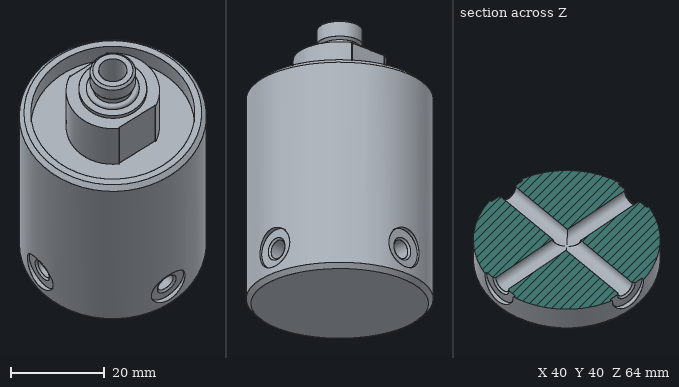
import cadquery as cq

total_height = 64.0
body_top = 48.5
hub_top = 56.5

body_diameter = 40.0
body_chamfer = 1.0
pocket_diameter = 35.0
pocket_depth = 5.0
pocket_floor = body_top - pocket_depth

hub_diameter = 20.0
flat_spacing = 17.0
flat_width = 9.7

bore_diameter = 6.0

washer_diameter = 14.5
washer_height = 0.95
ring_diameter = 11.3
ring_section_radius = 0.8
neck_diameter = 8.6
head_diameter = 9.7
head_height = 4.55
head_chamfer = (head_diameter - neck_diameter) / 2

cross_hole_height = 7.0
cross_hole_diameter = 4.15
cross_hole_chamfer = 0.45
spotface_diameter = 9.0
spotface_depth = 1.0


def disc(diameter, base, height):
    """Vertical cylinder on the part axis, standing at level base."""
    return cq.Workplane("XY").workplane(offset=base).circle(diameter / 2).extrude(height)


def make_body():
    body = disc(body_diameter, 0, body_top).edges().chamfer(body_chamfer)
    return body.cut(disc(pocket_diameter, pocket_floor, pocket_depth))


def make_hub():
    height = hub_top - pocket_floor
    hub = disc(hub_diameter, pocket_floor, height)
    recess_depth = (hub_diameter - flat_spacing) / 2
    middle = (flat_spacing + recess_depth) / 2
    recesses = (
        cq.Workplane("XY")
        .workplane(offset=pocket_floor)
        .pushPoints([(-middle, 0), (middle, 0)])
        .rect(recess_depth, flat_width)
        .extrude(height)
    )
    return hub.cut(recesses)


def make_spigot():
    washer_top = hub_top + washer_height
    head_base = total_height - head_height
    washer = disc(washer_diameter, hub_top, washer_height)
    ring_radius = ring_diameter / 2 - ring_section_radius
    ring = (
        cq.Workplane("XZ")
        .center(ring_radius, washer_top)
        .circle(ring_section_radius)
        .revolve(360, (-ring_radius, 0), (-ring_radius, 1))
    )
    neck = disc(neck_diameter, washer_top, head_base - washer_top)
    head = disc(head_diameter, head_base, head_height).edges().chamfer(head_chamfer)
    return washer.union(ring).union(neck).union(head)


def make_bore():
    return disc(bore_diameter, cross_hole_height, total_height - cross_hole_height)


def make_cross_hole():
    """Cutter along X: through hole with chamfered mouths and a spotface at both ends."""
    outer = body_diameter / 2
    seat = outer - spotface_depth
    hole_radius = cross_hole_diameter / 2
    mouth_radius = hole_radius + cross_hole_chamfer
    spotface_radius = spotface_diameter / 2
    half_profile = [
        (0, 0),
        (0, hole_radius),
        (seat - cross_hole_chamfer, hole_radius),
        (seat, mouth_radius),
        (seat, spotface_radius),
        (outer, spotface_radius),
        (outer, 0),
    ]
    half = cq.Workplane("XY").polyline(half_profile).close().revolve(360, (0, 0), (1, 0))
    return half.union(half.mirror("YZ")).translate((0, 0, cross_hole_height))


result = make_body().union(make_hub()).union(make_spigot()).cut(make_bore())
for angle in (0, 90):
    result = result.cut(make_cross_hole().rotate((0, 0, 0), (0, 0, 1), angle))